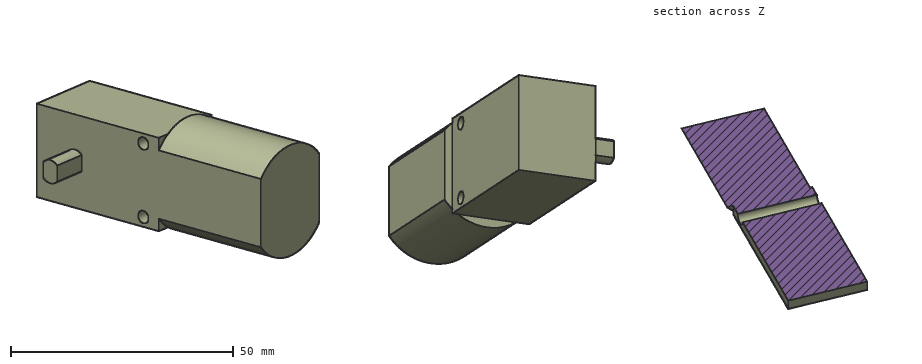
import cadquery as cq

total_length = 64.8
gearbox_length = 35.3
gearbox_depth = 19.05
gearbox_height = 22.4

motor_diameter = 26.65
motor_depth = 21.0
motor_length = total_length - gearbox_length

total_depth = 29.8
shaft_length = total_depth - motor_depth
shaft_x = 11.1
shaft_diameter = 5.6
shaft_width = 4.0

hole_diameter = 3.0
hole_x = 30.85
hole_spacing = 17.6


def make_gearbox():
    return cq.Workplane("XY").box(
        gearbox_length, gearbox_depth, gearbox_height, centered=(False, False, True)
    )


def make_motor():
    can = (
        cq.Workplane("YZ", origin=(gearbox_length, motor_depth / 2, 0))
        .circle(motor_diameter / 2)
        .extrude(motor_length)
    )
    envelope = cq.Workplane("XY").box(
        total_length, motor_depth, motor_diameter, centered=(False, False, True)
    )
    return can.intersect(envelope)


def make_shaft():
    rod = (
        cq.Workplane("XZ", origin=(shaft_x, 0, 0))
        .circle(shaft_diameter / 2)
        .extrude(shaft_length)
    )
    envelope = (
        cq.Workplane("XZ", origin=(shaft_x, 0, 0))
        .rect(shaft_width, shaft_diameter)
        .extrude(shaft_length)
    )
    return rod.intersect(envelope)


def make_mounting_holes():
    return (
        cq.Workplane("XZ", origin=(hole_x, 0, 0))
        .pushPoints([(0, -hole_spacing / 2), (0, hole_spacing / 2)])
        .circle(hole_diameter / 2)
        .extrude(-gearbox_depth)
    )


result = (
    make_gearbox()
    .union(make_motor())
    .union(make_shaft())
    .cut(make_mounting_holes())
)